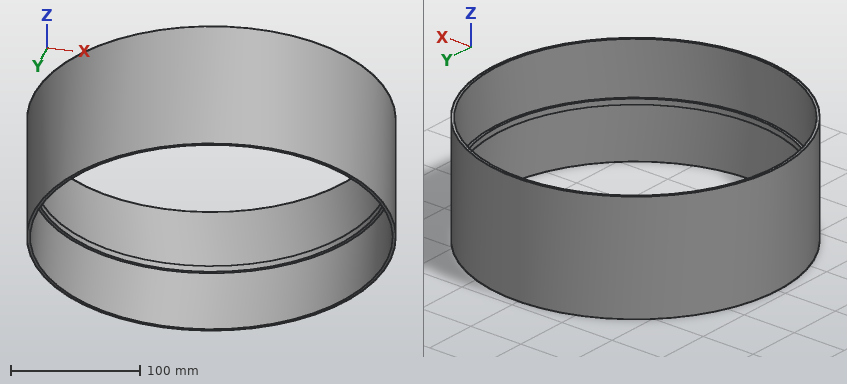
import cadquery as cq

outer_diameter = 285.0
bore_diameter = 280.0
lip_diameter = 275.0
height = 105.0
lip_height = 5.0
lip_bottom = (height - lip_height) / 2


def make_ring(outside, inside, bottom, ring_height):
    """Plain ring around Z, standing on the plane Z = bottom."""
    return (
        cq.Workplane("XY")
        .workplane(offset=bottom)
        .circle(outside / 2)
        .circle(inside / 2)
        .extrude(ring_height)
    )


sleeve = make_ring(outer_diameter, bore_diameter, 0, height)

lip = make_ring(outer_diameter, lip_diameter, lip_bottom, lip_height)

result = sleeve.union(lip)